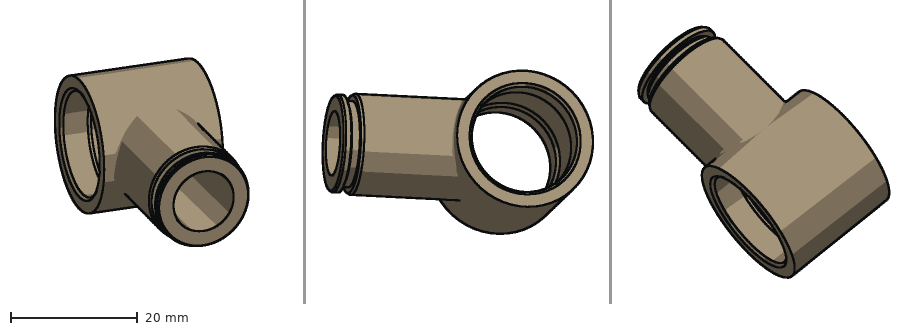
import cadquery as cq

ring_diameter = 22.0
ring_length = 20.0
bore_diameter = 17.0
bore_mouth_diameter = 18.0
recess_diameter = 18.0
recess_length = 10.83
bore_chamfer = (bore_mouth_diameter - bore_diameter) / 2
recess_taper_length = 0.75

overall_length = 39.8
barrel_diameter = 16.0
neck_diameter = 13.65
neck_groove_diameter = 13.3
collar_diameter = 15.5
neck_length = 1.25
neck_groove_length = 0.35
collar_length = 1.2
barrel_chamfer_length = 0.48
barrel_chamfer_depth = 0.28
collar_chamfer_length = 0.35
collar_chamfer_depth = 0.25
junction_fillet = 0.48

tube_diameter = 10.15
passage_diameter = 8.0
tube_stop_x = 10.23

ring_radius = ring_diameter / 2
collar_end_x = overall_length - ring_radius
collar_start_x = collar_end_x - collar_length
groove_start_x = collar_start_x - neck_groove_length
barrel_end_x = groove_start_x - neck_length


def cylinder_along_x(diameter, start_x, end_x):
    return cq.Workplane("YZ", origin=(start_x, 0, 0)).circle(diameter / 2).extrude(end_x - start_x)


def make_body():
    """Solid ring and barrel with a fillet where they meet."""
    ring = cq.Workplane("XZ").circle(ring_radius).extrude(ring_length / 2, both=True)
    body = ring.union(cylinder_along_x(barrel_diameter, 0, barrel_end_x - barrel_chamfer_length))
    half_width = barrel_diameter / 2 + junction_fillet
    junction = cq.selectors.BoxSelector(
        (0, -half_width, -half_width), (ring_radius + junction_fillet, half_width, half_width)
    )
    return body.edges(junction).edges("not(%LINE)").fillet(junction_fillet)


def make_port_end():
    """Chamfered barrel end, stepped neck and collar, turned about X."""
    barrel_radius = barrel_diameter / 2
    collar_radius = collar_diameter / 2
    chamfer_start_x = barrel_end_x - barrel_chamfer_length
    profile = [
        (chamfer_start_x, 0),
        (chamfer_start_x, barrel_radius),
        (barrel_end_x, barrel_radius - barrel_chamfer_depth),
        (barrel_end_x, neck_diameter / 2),
        (groove_start_x, neck_diameter / 2),
        (groove_start_x, neck_groove_diameter / 2),
        (collar_start_x, neck_groove_diameter / 2),
        (collar_start_x, collar_radius),
        (collar_end_x - collar_chamfer_length, collar_radius),
        (collar_end_x, collar_radius - collar_chamfer_depth),
        (collar_end_x, 0),
    ]
    return cq.Workplane("XY").polyline(profile).close().revolve(360, (0, 0, 0), (1, 0, 0))


def make_bore():
    """Through bore with chamfered mouths and a wider recess with tapered ends."""
    half_length = ring_length / 2
    half_recess = recess_length / 2
    bore_radius = bore_diameter / 2
    half_profile = [
        (bore_mouth_diameter / 2, half_length),
        (bore_radius, half_length - bore_chamfer),
        (bore_radius, half_recess),
        (recess_diameter / 2, half_recess - recess_taper_length),
    ]
    mirrored = [(radius, -y) for radius, y in reversed(half_profile)]
    profile = [(0, half_length)] + half_profile + mirrored + [(0, -half_length)]
    return cq.Workplane("XY").polyline(profile).close().revolve(360, (0, 0, 0), (0, 1, 0))


def make_passage():
    """Narrow passage from the bore, widening to the tube socket."""
    passage = cylinder_along_x(passage_diameter, 0, tube_stop_x)
    return passage.union(cylinder_along_x(tube_diameter, tube_stop_x, collar_end_x))


result = make_body().union(make_port_end()).cut(make_bore()).cut(make_passage())